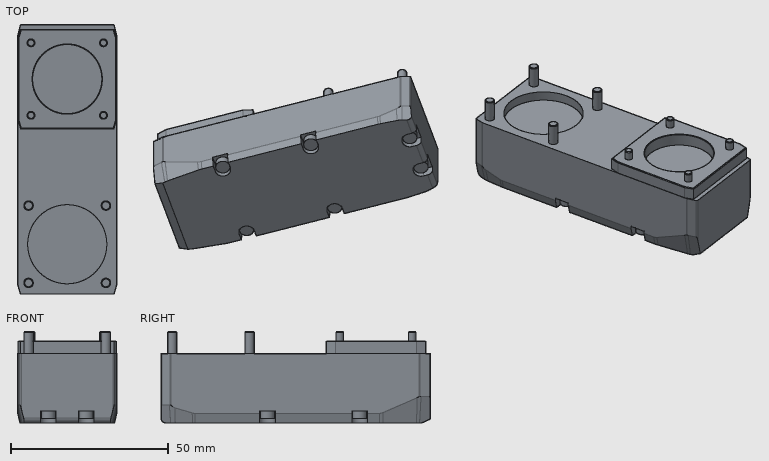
import cadquery as cq
import math

WIDTH = 31.5
LENGTH = 85.5
HEIGHT = 29.0
HALF_WIDTH = WIDTH / 2
HALF_LENGTH = LENGTH / 2
BODY_HEIGHT = 22.1

CORNER_INSET = 0.85
FRONT_CORNER_LENGTH = 3.0
BACK_CORNER_LENGTH = 3.5
END_EDGE_ROUNDING = 0.4
SIDE_EDGE_ROUNDING = 1.0

BEVEL_SLOPE = 0.24
BEVEL_HEIGHT_MIDDLE = 3.1
BEVEL_HEIGHT_FRONT = 5.05
BEVEL_HEIGHT_BACK = 8.2
FRONT_RISE_Y = -32.4
BACK_RISE_Y = 27.1
FRONT_TURN_Y = -39.0
BACK_TURN_Y = 38.8
RISE_BLEND = 11.1
TURN_BLEND = 7.3
BEVEL_OVERRUN = 5.1
PICK_MARGIN = 0.1

FRONT_BOTTOM_ROUNDING = 1.5
BACK_CHAMFER_LENGTH = 2.7
BACK_CHAMFER_HEIGHT = 1.3

PLATE_LENGTH = 31.6
PLATE_WIDTH = 31.3
PLATE_CENTER_Y = 25.5
PLATE_TOP = 26.1
PLATE_EDGE_CHAMFER = 0.25

PLATE_RECESS_DIAMETER = 22.0
PLATE_RECESS_RIM_CHAMFER = 0.2
PLATE_PIN_DIAMETER = 2.5
PLATE_PIN_SPACING = 23.0
BODY_RECESS_DIAMETER = 25.1
BODY_RECESS_DEPTH = 3.1
BODY_RECESS_Y = -26.9
BODY_PIN_DIAMETER = 3.0
BODY_PIN_SPACING = 24.5
PIN_TIP_CHAMFER = 0.25

POCKET_WIDTH = 5.0
POCKET_HEIGHT = 3.85
HEAD_DIAMETER = 4.5
HEAD_BOTTOM = 1.45
HEAD_SETBACK = 3.0
FRONT_POCKET_X = 6.0
SIDE_POCKET_YS = (-9.0, 20.3)


def cut_corner_prism(width, y_front, y_back, front_cut, back_cut, height):
    """Block with its four vertical corners cut at a shallow angle."""
    x_side = width / 2
    x_end = x_side - CORNER_INSET
    right_side = [
        (x_end, y_front),
        (x_side, y_front + front_cut),
        (x_side, y_back - back_cut),
        (x_end, y_back),
    ]
    left_side = [(-x, y) for x, y in reversed(right_side)]
    return cq.Workplane("XY").polyline(right_side + left_side).close().extrude(height)


def bevel_envelope():
    """Tapered block whose sloping sides form the bevel under the long sides."""
    x_middle = HALF_WIDTH - BEVEL_SLOPE * BEVEL_HEIGHT_MIDDLE
    x_front = HALF_WIDTH - BEVEL_SLOPE * BEVEL_HEIGHT_FRONT
    x_back = HALF_WIDTH - BEVEL_SLOPE * BEVEL_HEIGHT_BACK
    y_front_end = -HALF_LENGTH - BEVEL_OVERRUN
    y_back_end = HALF_LENGTH + BEVEL_OVERRUN
    front_run = FRONT_TURN_Y - y_front_end
    back_run = y_back_end - BACK_TURN_Y
    right_side = [
        (x_front - front_run * CORNER_INSET / FRONT_CORNER_LENGTH, y_front_end),
        (x_front, FRONT_TURN_Y),
        (x_middle, FRONT_RISE_Y),
        (x_middle, BACK_RISE_Y),
        (x_back, BACK_TURN_Y),
        (x_back - back_run * CORNER_INSET / BACK_CORNER_LENGTH, y_back_end),
    ]
    left_side = [(-x, y) for x, y in reversed(right_side)]
    outline = cq.Sketch().polygon(right_side + left_side + right_side[:1])
    for y_turn, radius in (
        (FRONT_RISE_Y, RISE_BLEND),
        (BACK_RISE_Y, RISE_BLEND),
        (FRONT_TURN_Y, TURN_BLEND),
        (BACK_TURN_Y, TURN_BLEND),
    ):
        low_corner = (-WIDTH, y_turn - PICK_MARGIN, -PICK_MARGIN)
        high_corner = (WIDTH, y_turn + PICK_MARGIN, PICK_MARGIN)
        turn_points = cq.selectors.BoxSelector(low_corner, high_corner)
        outline = outline.reset().vertices(turn_points).fillet(radius)
    taper = -math.degrees(math.atan(BEVEL_SLOPE))
    return cq.Workplane("XY").placeSketch(outline.reset()).extrude(BODY_HEIGHT, taper=taper)


def main_body():
    body = cut_corner_prism(
        WIDTH, -HALF_LENGTH, HALF_LENGTH, FRONT_CORNER_LENGTH, BACK_CORNER_LENGTH, BODY_HEIGHT
    )
    body = body.faces("<Y or >Y").edges("|Z").fillet(END_EDGE_ROUNDING)
    body = body.faces("<X or >X").edges("|Z").fillet(SIDE_EDGE_ROUNDING)
    profile = (
        cq.Workplane("YZ")
        .moveTo(-HALF_LENGTH, BODY_HEIGHT)
        .lineTo(-HALF_LENGTH, FRONT_BOTTOM_ROUNDING)
        .radiusArc((-HALF_LENGTH + FRONT_BOTTOM_ROUNDING, 0), -FRONT_BOTTOM_ROUNDING)
        .lineTo(HALF_LENGTH - BACK_CHAMFER_LENGTH, 0)
        .lineTo(HALF_LENGTH, BACK_CHAMFER_HEIGHT)
        .lineTo(HALF_LENGTH, BODY_HEIGHT)
        .close()
        .extrude(HALF_WIDTH, both=True)
    )
    return body.intersect(profile).intersect(bevel_envelope())


def raised_plate():
    half = PLATE_LENGTH / 2
    plate = cut_corner_prism(
        PLATE_WIDTH,
        PLATE_CENTER_Y - half,
        PLATE_CENTER_Y + half,
        FRONT_CORNER_LENGTH,
        FRONT_CORNER_LENGTH,
        PLATE_TOP - BODY_HEIGHT,
    )
    plate = plate.faces(">Z").chamfer(PLATE_EDGE_CHAMFER)
    plate = plate.translate((0, 0, BODY_HEIGHT))
    recess = (
        cq.Workplane("XY", origin=(0, PLATE_CENTER_Y, BODY_HEIGHT))
        .circle(PLATE_RECESS_DIAMETER / 2)
        .extrude(PLATE_TOP - BODY_HEIGHT)
    )
    rim = (
        cq.Workplane("XY", origin=(0, PLATE_CENTER_Y, PLATE_TOP))
        .circle(PLATE_RECESS_DIAMETER / 2 + PLATE_RECESS_RIM_CHAMFER)
        .extrude(-PLATE_RECESS_RIM_CHAMFER, taper=45)
    )
    return plate.cut(recess).cut(rim)


def body_recess():
    return (
        cq.Workplane("XY", origin=(0, BODY_RECESS_Y, BODY_HEIGHT))
        .circle(BODY_RECESS_DIAMETER / 2)
        .extrude(-BODY_RECESS_DEPTH)
    )


def pin_group(center_y, base_z, diameter, spacing):
    """Four pins on a square, all ending at the overall height."""
    return (
        cq.Workplane("XY", origin=(0, center_y, base_z))
        .rect(spacing, spacing, forConstruction=True)
        .vertices()
        .circle(diameter / 2)
        .extrude(HEIGHT - base_z)
        .faces(">Z")
        .chamfer(PIN_TIP_CHAMFER)
    )


def screw_pocket(x, y, outward_angle):
    """Pocket open below and outwards, less the screw head hanging from its ceiling."""
    pocket = cq.Workplane("XY").circle(POCKET_WIDTH / 2).extrude(POCKET_HEIGHT)
    opening = cq.Workplane("XY").box(
        HEAD_SETBACK, POCKET_WIDTH, POCKET_HEIGHT, centered=(False, True, False)
    )
    head = (
        cq.Workplane("XY", origin=(0, 0, HEAD_BOTTOM))
        .circle(HEAD_DIAMETER / 2)
        .extrude(POCKET_HEIGHT - HEAD_BOTTOM)
    )
    space = pocket.union(opening).cut(head)
    return space.rotate((0, 0, 0), (0, 0, 1), outward_angle).translate((x, y, 0))


result = main_body().cut(body_recess()).union(raised_plate())
result = result.union(
    pin_group(PLATE_CENTER_Y, PLATE_TOP, PLATE_PIN_DIAMETER, PLATE_PIN_SPACING)
)
result = result.union(
    pin_group(BODY_RECESS_Y, BODY_HEIGHT, BODY_PIN_DIAMETER, BODY_PIN_SPACING)
)

side_pocket_x = HALF_WIDTH - HEAD_SETBACK
for pocket_x in (-FRONT_POCKET_X, FRONT_POCKET_X):
    result = result.cut(screw_pocket(pocket_x, -HALF_LENGTH + HEAD_SETBACK, -90))
for pocket_y in SIDE_POCKET_YS:
    result = result.cut(screw_pocket(side_pocket_x, pocket_y, 0))
    result = result.cut(screw_pocket(-side_pocket_x, pocket_y, 180))